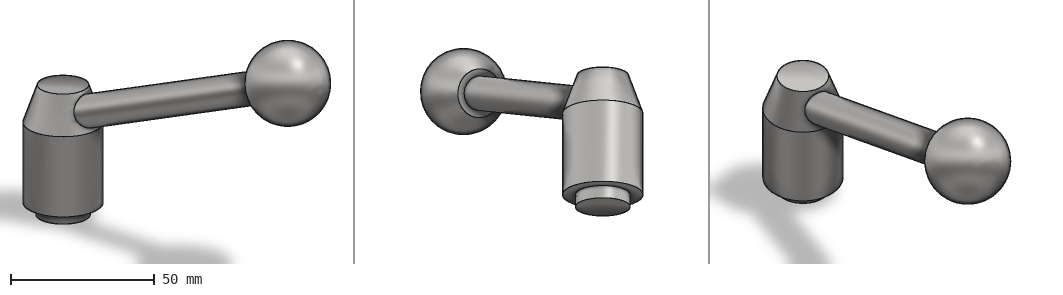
import cadquery as cq
import math

stub_diameter = 19.0
stub_height = 4.5
hub_diameter = 28.0
hub_height = 30.0
cone_top_diameter = 18.0
cone_height = 14.0

arm_diameter = 12.0
arm_angle = 20.0
ball_diameter = 30.0
ball_flat_diameter = 17.0
ball_center_x = 100.71
ball_center_z = 73.94


def make_hub():
    """Stub, cylinder and cone as one revolved profile."""
    cone_base_z = stub_height + hub_height
    top_z = cone_base_z + cone_height
    profile = [
        (0, 0),
        (stub_diameter / 2, 0),
        (stub_diameter / 2, stub_height),
        (hub_diameter / 2, stub_height),
        (hub_diameter / 2, cone_base_z),
        (cone_top_diameter / 2, top_z),
        (0, top_z),
    ]
    return cq.Workplane("XZ").polyline(profile).close().revolve(360, (0, 0), (0, 1))


def arm_plane():
    """Plane on the Z axis whose normal runs along the arm."""
    angle = math.radians(arm_angle)
    axis_z = ball_center_z - ball_center_x * math.tan(angle)
    return cq.Plane(
        origin=(0, 0, axis_z),
        xDir=(0, 1, 0),
        normal=(math.cos(angle), 0, math.sin(angle)),
    )


def make_arm(ball_distance):
    """Round rod from inside the hub to the centre of the ball."""
    return cq.Workplane(arm_plane()).circle(arm_diameter / 2).extrude(ball_distance)


def make_ball(ball_distance):
    """Ball cut flat on the side facing the hub, square to the arm."""
    radius = ball_diameter / 2
    flat_offset = math.sqrt(radius**2 - (ball_flat_diameter / 2) ** 2)
    ball = cq.Workplane("XY").sphere(radius).translate((ball_center_x, 0, ball_center_z))
    kept_side = (
        cq.Workplane(arm_plane())
        .workplane(offset=ball_distance - flat_offset)
        .rect(2 * ball_diameter, 2 * ball_diameter)
        .extrude(2 * ball_diameter)
    )
    return ball.intersect(kept_side)


ball_distance = ball_center_x / math.cos(math.radians(arm_angle))
result = make_hub().union(make_arm(ball_distance)).union(make_ball(ball_distance))